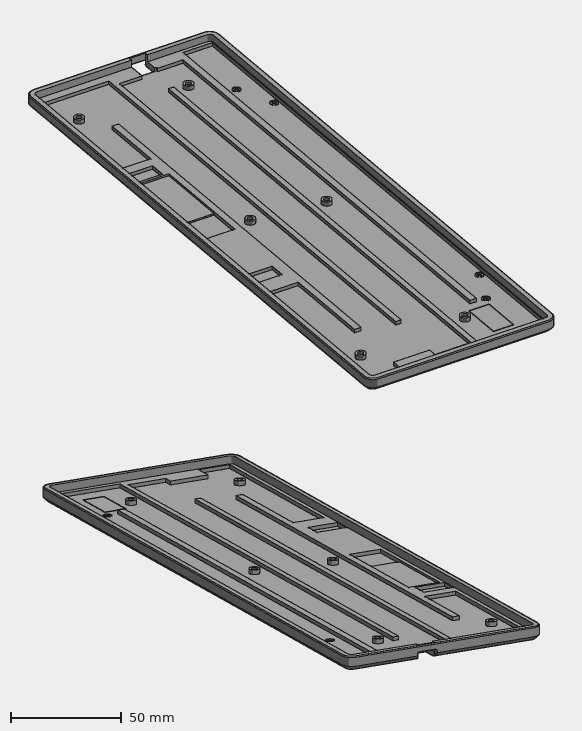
import cadquery as cq

length = 291.48
width = 101.03
height = 6.77
corner_radius = 5.0
wall = 3.0
bottom_chamfer = 2.0
rim_chamfer = 0.5

left_side = -length / 2
inner_left = left_side + wall
inner_right = -inner_left
inner_front = -width / 2 + wall
inner_back = -inner_front

floor_z = 1.2
shelf_z = 3.0
shallow_bay_z = 2.0
label_recess_depth = 0.2
boss_top_z = 3.4

rib_1_back, rib_1_front = 31.3, 27.9
rib_2_back, rib_2_front = 12.0, 9.2
rib_3_back, rib_3_front = -7.2, -10.1
rib_4_back, rib_4_front = -25.9, -29.4

rib_1_right = 107.0
rib_2_left = -118.3
rib_3_right = 104.3
rib_4_left, rib_4_right = -105.0, 100.0

pocket_back = 47.0
pocket_front = -45.3
row_1_left, row_1_right = -140.9, 140.1
row_2_left = -135.6
row_3_left, row_3_right = -133.9, 137.4
row_4_left, row_4_right = -138.3, 132.9
row_5_right = 141.7
front_block_left, front_block_right = -72.2, 52.3

connector_inner = -136.6
connector_skin = 1.34
connector_front, connector_back = 5.0, 13.4
connector_ledge_back = 14.4
mouth_center_y, mouth_center_z = 9.1, 1.8
mouth_width, mouth_height = 10.4, 4.2
mouth_radius = 1.6
mouth_taper = 30.0

bay_left, bay_step, bay_right = -57.0, -18.8, -1.2
slot_width = 8.4
slot_lefts = (-66.7, 34.5)
slot_front, slot_back = -47.1, -32.0

label_left, label_right = 111.7, 132.4
label_front, label_back = 24.4, 35.1

boss_diameter = 5.0
boss_hole_diameter = 2.7
boss_places = [
    (-116.8, 18.95), (0.0, 18.95), (116.8, 18.95),
    (-4.8, -18.9), (-119.0, -38.2), (119.0, -38.2),
]
hole_diameter = 2.2
hole_head_diameter = 4.1
hole_head_depth = 0.5
hole_places = [(-85.2, 44.8), (-103.9, 36.5), (88.2, 44.8), (106.8, 36.5)]

foot_inner, foot_outer = 122.4, 141.2
foot_front, foot_back = -51.0, -46.0
foot_depth = 1.0
foot_taper = 25.0


def block(x_min, x_max, y_min, y_max, z_min, z_max):
    """Axis-aligned block from its limits."""
    size = (x_max - x_min, y_max - y_min, z_max - z_min)
    return cq.Workplane("XY").box(*size, centered=False).translate((x_min, y_min, z_min))


def cylinders(places, diameter, z_min, z_max):
    """Equal upright cylinders at the given places."""
    plane = cq.Workplane("XY").workplane(offset=z_min)
    return plane.pushPoints(places).circle(diameter / 2).extrude(z_max - z_min)


def make_shell():
    """Rounded tray with chamfered outer edges, hollow down to the shelf."""
    outer = cq.Workplane("XY").box(length, width, height, centered=(True, True, False))
    outer = outer.edges("|Z").fillet(corner_radius)
    outer = outer.faces("<Z").chamfer(bottom_chamfer)
    outer = outer.faces(">Z").chamfer(rim_chamfer)
    cavity = block(inner_left, inner_right, inner_front, inner_back, shelf_z, height)
    return outer.cut(cavity.edges("|Z").fillet(corner_radius - wall))


def make_main_pocket():
    """Winding pocket that leaves the ribs and the border ledge standing."""
    outline = [
        (row_1_left, pocket_back), (row_1_right, pocket_back),
        (row_1_right, rib_2_back), (rib_2_left, rib_2_back),
        (rib_2_left, rib_2_front), (row_3_right, rib_2_front),
        (row_3_right, rib_3_front), (row_4_right, rib_3_front),
        (row_4_right, rib_4_front), (row_5_right, rib_4_front),
        (row_5_right, pocket_front), (front_block_right, pocket_front),
        (front_block_right, rib_4_front), (rib_4_right, rib_4_front),
        (rib_4_right, rib_4_back), (rib_4_left, rib_4_back),
        (rib_4_left, rib_4_front), (front_block_left, rib_4_front),
        (front_block_left, pocket_front), (row_4_left, pocket_front),
        (row_4_left, rib_3_front), (rib_3_right, rib_3_front),
        (rib_3_right, rib_3_back), (row_3_left, rib_3_back),
        (row_3_left, connector_front), (connector_inner, connector_front),
        (connector_inner, connector_ledge_back), (row_2_left, connector_ledge_back),
        (row_2_left, rib_1_front), (rib_1_right, rib_1_front),
        (rib_1_right, rib_1_back), (row_1_left, rib_1_back),
    ]
    plane = cq.Workplane("XY").workplane(offset=floor_z)
    return plane.polyline(outline).close().extrude(shelf_z - floor_z)


def cut_front_bays(body):
    """Stepped bay and two narrow slots in the front block."""
    body = body.cut(block(bay_left, bay_step, pocket_front, rib_4_front, shallow_bay_z, shelf_z))
    body = body.cut(block(bay_step, bay_right, pocket_front, rib_4_front, floor_z, shelf_z))
    for slot_left in slot_lefts:
        slot_right = slot_left + slot_width
        body = body.cut(block(slot_left, slot_right, slot_front, slot_back, floor_z, shelf_z))
    return body


def cut_label_recess(body):
    """Shallow rectangle in the pocket floor."""
    bottom = floor_z - label_recess_depth
    return body.cut(block(label_left, label_right, label_front, label_back, bottom, floor_z))


def add_bosses(body):
    """Round bosses on the pocket floor, bored down to the floor."""
    body = body.union(cylinders(boss_places, boss_diameter, 0, boss_top_z))
    return body.cut(cylinders(boss_places, boss_hole_diameter, floor_z, boss_top_z))


def cut_holes(body):
    """Counterbored holes through the pocket floor."""
    body = body.cut(cylinders(hole_places, hole_diameter, 0, floor_z))
    return body.cut(cylinders(hole_places, hole_head_diameter, floor_z - hole_head_depth, floor_z))


def cut_connector_opening(body):
    """Full-height well behind a thin skin, with a bevelled mouth through the skin."""
    well_left = left_side + connector_skin
    body = body.cut(block(well_left, connector_inner, connector_front, connector_back, 0, height))
    profile = cq.Sketch().rect(mouth_width, mouth_height).vertices().fillet(mouth_radius)
    plane = cq.Workplane("YZ").workplane(offset=left_side).center(mouth_center_y, mouth_center_z)
    return body.cut(plane.placeSketch(profile).extrude(connector_skin, taper=mouth_taper))


def cut_foot_recesses(body):
    """Two recesses with sloping walls that break through the front chamfer."""
    foot_length = foot_outer - foot_inner
    center_x = (foot_outer + foot_inner) / 2
    center_y = (foot_front + foot_back) / 2
    recesses = (
        cq.Workplane("XY")
        .pushPoints([(-center_x, center_y), (center_x, center_y)])
        .rect(foot_length, foot_back - foot_front)
        .extrude(foot_depth, taper=foot_taper)
    )
    return body.cut(recesses)


result = make_shell().cut(make_main_pocket())
result = cut_front_bays(result)
result = cut_label_recess(result)
result = add_bosses(result)
result = cut_holes(result)
result = cut_connector_opening(result)
result = cut_foot_recesses(result)